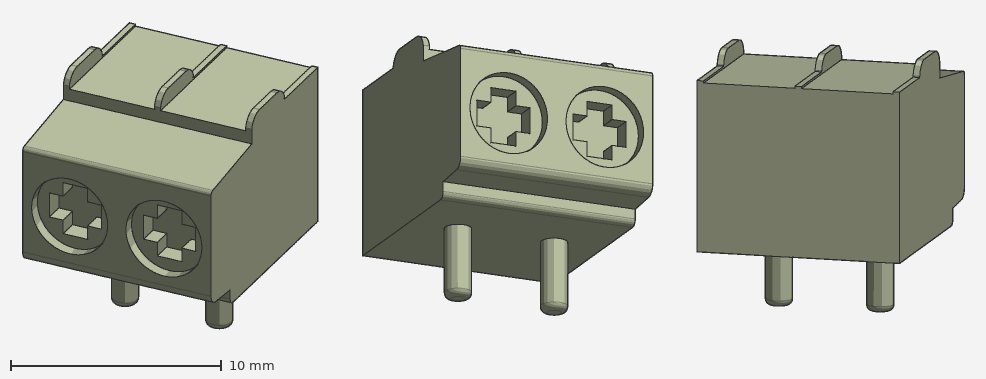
import cadquery as cq

POLES = 2
WIDTH = 10.0
DEPTH = 11.4
HEIGHT = 12.56
PITCH = WIDTH / POLES
BODY_BOTTOM = 3.52
FLOOR_TOP = 11.73

STEP_Y = 4.35
SHELF_Z = 11.1
SHELF_FRONT_Z = 10.58
UNDERCUT_Y = 2.03
UNDERCUT_Z = 4.33
UNDERCUT_FRONT_Z = 4.48
TOP_NOSE_RADIUS = 0.21
BOTTOM_NOSE_RADIUS = 0.53
FOOT_RADIUS = 0.33

RIB_WIDTH = 0.33
RIB_TOP = 11.83
TAB_LENGTH = 3.52
TAB_ARC_RUN = 0.83
TAB_ARC_DROP = 0.67

SCREW_Z = 7.49
RECESS_DIAMETER = 4.03
RECESS_DEPTH = 0.6
CROSS_LENGTH = 2.75
CROSS_WIDTH = 1.29
CROSS_DEPTH = 1.0

PIN_DIAMETER = 1.3
PIN_Y = 5.9
PIN_TIP_RADIUS = 0.31

pole_centers = [(i + 0.5) * PITCH for i in range(POLES)]


def make_housing():
    profile = [
        (DEPTH, BODY_BOTTOM),
        (DEPTH, FLOOR_TOP),
        (STEP_Y, FLOOR_TOP),
        (STEP_Y, SHELF_Z),
        (0, SHELF_FRONT_Z),
        (0, UNDERCUT_FRONT_Z),
        (UNDERCUT_Y, UNDERCUT_Z),
        (UNDERCUT_Y, BODY_BOTTOM),
    ]
    housing = cq.Workplane("YZ").polyline(profile).close().extrude(WIDTH)

    def round_edge(body, y, z, radius):
        picker = cq.selectors.NearestToPointSelector((WIDTH / 2, y, z))
        return body.edges("|X").edges(picker).fillet(radius)

    housing = round_edge(housing, 0, SHELF_FRONT_Z, TOP_NOSE_RADIUS)
    housing = round_edge(housing, 0, UNDERCUT_FRONT_Z, BOTTOM_NOSE_RADIUS)
    return round_edge(housing, UNDERCUT_Y, BODY_BOTTOM, FOOT_RADIUS)


def make_rib(x):
    """Low rib with a tall tab at its front end, starting at x."""
    tab_back = STEP_Y + TAB_LENGTH
    arc_bottom = HEIGHT - TAB_ARC_DROP
    arc_radius = (TAB_ARC_RUN**2 + TAB_ARC_DROP**2) / (2 * TAB_ARC_DROP)
    tab = (
        cq.Workplane("YZ", origin=(x, 0, 0))
        .moveTo(STEP_Y, SHELF_Z)
        .lineTo(STEP_Y, arc_bottom)
        .radiusArc((STEP_Y + TAB_ARC_RUN, HEIGHT), arc_radius)
        .lineTo(tab_back - TAB_ARC_RUN, HEIGHT)
        .radiusArc((tab_back, arc_bottom), arc_radius)
        .lineTo(tab_back, SHELF_Z)
        .close()
        .extrude(RIB_WIDTH)
    )
    rail_start = STEP_Y + TAB_LENGTH / 2
    rail = cq.Workplane("XY").box(
        RIB_WIDTH, DEPTH - rail_start, RIB_TOP - SHELF_Z, centered=False
    )
    return tab.union(rail.translate((x, rail_start, SHELF_Z)))


def make_screw_recess(x):
    """Round recess with a deeper cross slot, sunk into the front face."""
    front = cq.Workplane("XZ", origin=(x, 0, SCREW_Z))
    recess = front.circle(RECESS_DIAMETER / 2).extrude(-RECESS_DEPTH)
    slot_depth = RECESS_DEPTH + CROSS_DEPTH
    recess = recess.union(front.rect(CROSS_LENGTH, CROSS_WIDTH).extrude(-slot_depth))
    return recess.union(front.rect(CROSS_WIDTH, CROSS_LENGTH).extrude(-slot_depth))


def make_pin(x):
    pin = cq.Workplane("XY", origin=(x, PIN_Y, 0)).circle(PIN_DIAMETER / 2).extrude(BODY_BOTTOM)
    return pin.faces("<Z").edges().fillet(PIN_TIP_RADIUS)


result = make_housing()
for rib in range(POLES + 1):
    result = result.union(make_rib(rib * (WIDTH - RIB_WIDTH) / POLES))
for center in pole_centers:
    result = result.cut(make_screw_recess(center))
    result = result.union(make_pin(center))